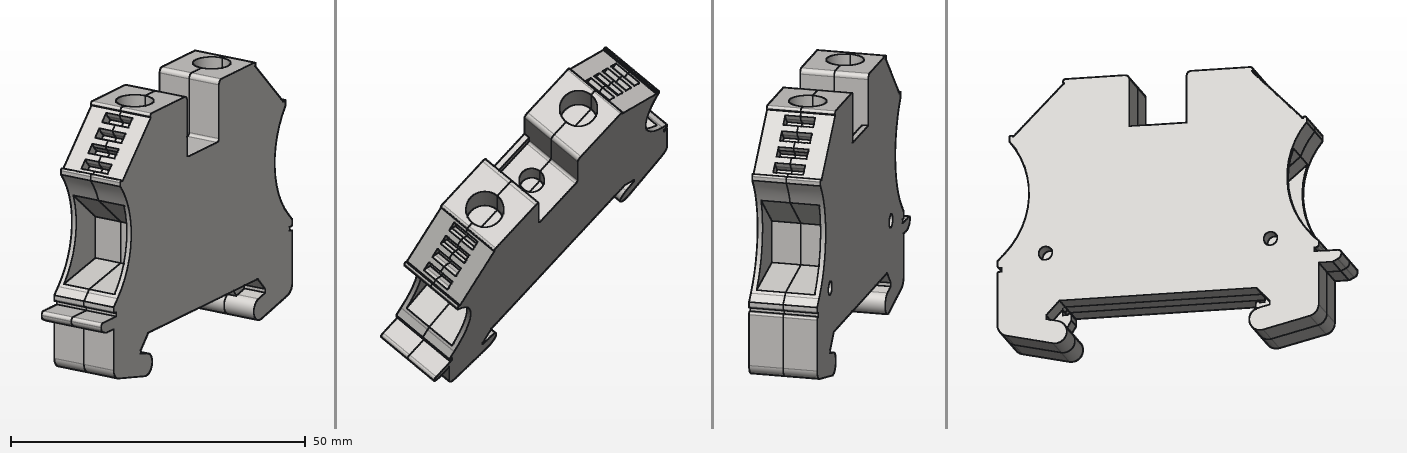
import cadquery as cq
import math

thickness = 12.0
height = 46.5
length = 60.0
half_thickness = thickness / 2
center_y = 2.0
half_length = length / 2 - center_y

notch_half_width = 5.0
notch_depth = 9.05
notch_floor_z = height - notch_depth
notch_edge_radius = 0.85
rim_thickness = 1.1
recess_depth = 1.9
recess_radius = 0.55
top_lip_out = 16.55
top_lip_height = 0.55
top_lip_radius = 0.5
slope_top_out = 16.4
slope_top_z = 45.8
slope_drop = 8.9
slope_bottom_out = slope_top_out + slope_drop
slope_bottom_z = slope_top_z - slope_drop
side_lip_out = 25.9
side_lip_top_z = 37.15
side_lip_bottom_z = 35.9
side_lip_radius = 0.3

bite_center_z = 26.7
bite_inner_out = 22.5
flare_end_z = 15.1
bite_radius = (bite_inner_out + bite_center_z - half_length - flare_end_z) / (math.sqrt(2) - 1)
bite_center_out = bite_inner_out + bite_radius
flare_start_out = bite_center_out - bite_radius / math.sqrt(2)

groove_depth = 0.8
groove_top_z = 14.0
groove_bottom_z = 13.25
groove_edge_radius = 0.35
lever_tip_out = length / 2 + center_y
lever_thickness = 2.05
lever_top_radius = 0.6
lever_nose_radius = 1.1
lever_chamfer_length = 1.5
lever_chamfer_height = 0.7

rail_z = 7.5
hook_end_out = 15.9
hook_tilt = 13.0
hook_radius = 2.0
hook_top_z = hook_radius * (1 + math.tan(math.radians(45 - hook_tilt / 2)))
slot_end_out = 19.5
slot_end_z = 5.05
slot_roof_out = 17.15

screw_hole_out = 12.05
screw_hole_diameter = 6.4
screw_hole_depth = 7.2
test_hole_diameter = 4.25
test_hole_depth = 4.8
side_hole_out = 19.6
side_hole_z = 16.0
side_hole_diameter = 2.35
side_hole_depth = 3.0
pocket_half_width = 5.1
pocket_back_out = 16.5
pocket_floor_back_z = 18.7
pocket_floor_front_z = 16.9
pocket_floor_front_out = 25.75
pocket_roof_back_z = 26.1
pocket_roof_front_z = 32.0
pocket_roof_front_out = 23.6

marker_count = 4
marker_pitch = 3.05
marker_length = 5.3
marker_width = 1.85
marker_depth = 2.05
marker_mouth_depth = 0.8
marker_taper = 18.0

foot_width = 3.6
foot_bar_height = 1.8
foot_leg_inner_out = 17.65
foot_ledge_z = 6.05
foot_step_out = 16.75
foot_tip_z = 6.25
foot_tip_out = 16.1
foot_tip_bottom_z = 5.05
foot_heel_out = 16.85
foot_tip_radius = 0.25

end_sides = (-1, 1)


def rounded_prism(corners, x_start, x_end):
    """Prism along X whose (y, z, radius) corners are rounded where the radius is not zero."""
    path = []
    for i, (y, z, radius) in enumerate(corners):
        corner = cq.Vector(y, z)
        to_previous = (cq.Vector(*corners[i - 1][:2]) - corner).normalized()
        to_next = (cq.Vector(*corners[(i + 1) % len(corners)][:2]) - corner).normalized()
        if radius == 0:
            path.append((corner, None, None))
            continue
        half_angle = to_previous.getAngle(to_next) / 2
        tangent = radius / math.tan(half_angle)
        bisector = (to_previous + to_next).normalized()
        middle = corner + bisector * (radius / math.sin(half_angle) - radius)
        path.append((corner + to_previous * tangent, middle, corner + to_next * tangent))

    outline = cq.Workplane("YZ", origin=(x_start, 0, 0)).moveTo(*path[0][0].toTuple()[:2])
    for i, (start, middle, end) in enumerate(path):
        if i > 0 and start != path[i - 1][2]:
            outline = outline.lineTo(*start.toTuple()[:2])
        if middle is not None:
            outline = outline.threePointArc(middle.toTuple()[:2], end.toTuple()[:2])
    return outline.close().extrude(x_end - x_start)


def at_end(corners, side):
    """Turn (out, z, radius) corners, measured from the mirror plane, into corners at one end."""
    return [(center_y + side * out, z, radius) for out, z, radius in corners]


def hook_top_height(out):
    """Height of the hook's sloping top at a distance from the mirror plane."""
    return hook_top_z + (out - hook_end_out) * math.tan(math.radians(hook_tilt))


def half_outline():
    """Block outline from the middle of the notch floor to the middle of the rail seat."""
    slope = math.tan(math.radians(hook_tilt))
    hook_corner_z = hook_radius * (1 - math.tan(math.radians(45 + hook_tilt / 2)))
    heel_z = hook_corner_z + (half_length - hook_end_out) * slope
    return [
        (notch_half_width, notch_floor_z, 0),
        (notch_half_width, height, notch_edge_radius),
        (top_lip_out, height, top_lip_radius),
        (top_lip_out, height - top_lip_height, 0),
        (slope_top_out, slope_top_z, 0),
        (slope_bottom_out, slope_bottom_z, 0),
        (slope_bottom_out + side_lip_top_z - slope_bottom_z, side_lip_top_z, 0),
        (side_lip_out, side_lip_top_z, side_lip_radius),
        (side_lip_out, side_lip_bottom_z, 0),
        (flare_start_out, flare_end_z + half_length - flare_start_out, 0),
        (half_length, flare_end_z, 0),
        (half_length, groove_top_z, groove_edge_radius),
        (half_length - groove_depth, groove_top_z, 0),
        (half_length - groove_depth, groove_bottom_z, 0),
        (half_length, groove_bottom_z, groove_edge_radius),
        (half_length, heel_z, hook_radius),
        (hook_end_out, hook_corner_z, hook_radius),
        (hook_end_out, hook_top_z, hook_radius),
        (slot_end_out, hook_top_height(slot_end_out), 0),
        (slot_end_out, slot_end_z, 0),
        (slot_roof_out, rail_z, 0),
    ]


def make_block():
    half = half_outline()
    corners = at_end(half, 1) + at_end(half, -1)[::-1]
    block = rounded_prism(corners, -half_thickness, half_thickness)
    for side in end_sides:
        bite_y = center_y + side * bite_center_out
        bite = (
            cq.Workplane("YZ", origin=(-half_thickness, bite_y, bite_center_z))
            .circle(bite_radius)
            .extrude(thickness)
        )
        block = block.cut(bite)
    return block


def make_lever():
    """Release lever on the -Y end."""
    bottom_z = groove_bottom_z - lever_thickness
    corners = [
        (half_length - groove_depth, groove_bottom_z, 0),
        (lever_tip_out, groove_bottom_z, lever_top_radius),
        (lever_tip_out, bottom_z + lever_chamfer_height, lever_nose_radius),
        (lever_tip_out - lever_chamfer_length, bottom_z, 0),
        (half_length - groove_depth, bottom_z, 0),
    ]
    return rounded_prism(at_end(corners, -1), -half_thickness, half_thickness)


def make_notch_recess():
    """Lowered notch floor, open to the +X side and walled by the rim on the -X side."""
    floor_z = notch_floor_z - recess_depth
    corners = [
        (center_y - notch_half_width, notch_floor_z, 0),
        (center_y - notch_half_width, floor_z, recess_radius),
        (center_y + notch_half_width, floor_z, recess_radius),
        (center_y + notch_half_width, notch_floor_z, 0),
    ]
    return rounded_prism(corners, rim_thickness - half_thickness, half_thickness)


def make_down_hole(out, top_z, diameter, depth):
    return (
        cq.Workplane("XY", origin=(0, center_y + out, top_z - depth))
        .circle(diameter / 2)
        .extrude(depth)
    )


def make_side_hole(side):
    return (
        cq.Workplane("YZ", origin=(-half_thickness, center_y + side * side_hole_out, side_hole_z))
        .circle(side_hole_diameter / 2)
        .extrude(side_hole_depth)
    )


def make_wire_pocket(side):
    """Funnel for the wire: its roof and floor spread outward from a flat back wall."""
    floor_slope = (pocket_floor_front_z - pocket_floor_back_z) / (pocket_floor_front_out - pocket_back_out)
    roof_slope = (pocket_roof_front_z - pocket_roof_back_z) / (pocket_roof_front_out - pocket_back_out)
    reach = half_length - pocket_back_out
    corners = [
        (pocket_back_out, pocket_floor_back_z, 0),
        (half_length, pocket_floor_back_z + reach * floor_slope, 0),
        (pocket_floor_front_out, pocket_roof_front_z, 0),
        (pocket_roof_front_out, pocket_roof_front_z, 0),
        (pocket_back_out, pocket_roof_back_z, 0),
    ]
    return rounded_prism(at_end(corners, side), -pocket_half_width, pocket_half_width)


def make_marker_slots(side):
    """Row of slots sunk square into one 45 degree shoulder, each with a tapered mouth."""
    middle_out = (slope_top_out + slope_bottom_out) / 2
    middle_z = (slope_top_z + slope_bottom_z) / 2
    shoulder = cq.Plane(
        origin=(0, center_y + side * middle_out, middle_z), xDir=(1, 0, 0), normal=(0, side, 1)
    )
    row_start = -(marker_count - 1) / 2 * marker_pitch
    narrowing = 2 * marker_mouth_depth * math.tan(math.radians(marker_taper))
    slots = cq.Workplane("XY")
    for i in range(marker_count):
        mouth = (
            cq.Workplane(shoulder)
            .center(0, row_start + i * marker_pitch)
            .rect(marker_length, marker_width)
            .workplane(offset=-marker_mouth_depth)
            .rect(marker_length, marker_width - narrowing)
            .loft(ruled=True)
        )
        lower_part = (
            cq.Workplane(shoulder)
            .center(0, row_start + i * marker_pitch)
            .rect(marker_length, marker_width - narrowing)
            .extrude(-marker_depth)
        )
        slots = slots.add(mouth.union(lower_part))
    return slots


def make_rail_foot():
    """Metal bar above the rail seat with a contact claw standing in each hook slot."""
    half = [
        (foot_leg_inner_out, rail_z, 0),
        (foot_leg_inner_out, foot_ledge_z, 0),
        (foot_step_out, foot_ledge_z, 0),
        (foot_step_out, foot_tip_z, 0),
        (foot_tip_out, foot_tip_z, foot_tip_radius),
        (foot_tip_out, foot_tip_bottom_z, 0),
        (foot_heel_out, hook_top_height(foot_heel_out), 0),
        (slot_end_out, hook_top_height(slot_end_out), 0),
        (slot_end_out, rail_z + foot_bar_height, 0),
    ]
    corners = at_end(half, 1) + at_end(half, -1)[::-1]
    return rounded_prism(corners, -foot_width / 2, foot_width / 2)


def make_housing():
    housing = make_block().union(make_lever()).cut(make_notch_recess())
    recess_floor_z = notch_floor_z - recess_depth
    housing = housing.cut(make_down_hole(0, recess_floor_z, test_hole_diameter, test_hole_depth))
    for side in end_sides:
        screw_hole = make_down_hole(side * screw_hole_out, height, screw_hole_diameter, screw_hole_depth)
        housing = housing.cut(screw_hole)
        housing = housing.cut(make_side_hole(side))
        housing = housing.cut(make_wire_pocket(side))
        for slot in make_marker_slots(side).vals():
            housing = housing.cut(cq.Workplane(slot))
    return housing


def make_housing_half(housing, foot, side):
    """The part of the housing on one side of the seam at X = 0, with the channel for the foot."""
    half_space = cq.Workplane("XY", origin=(side * half_thickness / 2, 0, height / 2)).box(
        half_thickness, length, height
    )
    return housing.intersect(half_space).cut(foot)


rail_foot = make_rail_foot()
housing = make_housing()
left_half = make_housing_half(housing, rail_foot, -1)
right_half = make_housing_half(housing, rail_foot, 1)

result = cq.Compound.makeCompound([left_half.val(), right_half.val(), rail_foot.val()])